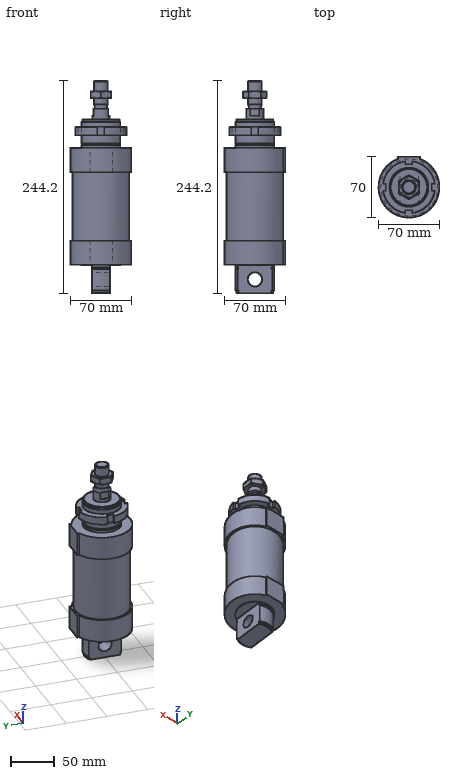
import cadquery as cq
import math

TOTAL_LENGTH = 244.2

HEAD_DIAMETER = 70.0
HEAD_LENGTH = 27.8
TUBE_DIAMETER = 65.5
BODY_LENGTH = 134.3
PAD_WIDTH = 25.6

BOSS_DIAMETER = 45.0
BOSS_LENGTH = 33.0
UNDERCUT_DIAMETER = 43.5
UNDERCUT_START = 3.0
UNDERCUT_WIDTH = 2.2
SPIGOT_DIAMETER = 42.7
SPIGOT_FACE_DIAMETER = 41.8
SPIGOT_LENGTH = 3.5
SPIGOT_CONE_LENGTH = 0.5
EDGE_CHAMFER = 0.7

TONGUE_THICKNESS = 21.0
TONGUE_SHOULDER = 0.7
PIN_HOLE_DIAMETER = 16.0
PIN_HOLE_Z = 16.0

ROD_DIAMETER = 20.0
ROD_FLATS = 17.0
ROD_FLATS_LENGTH = 8.3
STUD_DIAMETER = 16.0
STUD_LENGTH = 31.7
STUD_TIP_DIAMETER = 14.0
STUD_TIP_CHAMFER = 1.0
NECK_DIAMETER = 14.5
NECK_LENGTH = 2.5
NECK_ROOT_FILLET = 0.2
RUNOUT_LENGTH = 2.5
RUNOUT_FILLET = 2.2

HEX_NUT_FLATS = 24.0
HEX_NUT_HEIGHT = 8.0
HEX_NUT_FACE_DIAMETER = 23.7
HEX_NUT_TIP_GAP = 12.0
HEX_CHAMFER_ANGLE = 20.0

RING_DIAMETER = 59.8
RING_FACE_DIAMETER = 56.0
RING_HEIGHT = 9.8
RING_CHAMFER_HEIGHT = 0.5
RING_SLOT_COUNT = 4
RING_SLOT_WIDTH = 8.0
RING_SLOT_FLOOR = 26.4
RING_TIP_GAP = 8.8

EDGE_TOLERANCE = 0.12

lower_face_z = BOSS_LENGTH
upper_face_z = lower_face_z + BODY_LENGTH
collar_top_z = upper_face_z + BOSS_LENGTH


def revolve_profile(points):
    """Solid of revolution about Z from (radius, z) points, closed along the axis."""
    return cq.Workplane("XZ").polyline(points).close().revolve(360, (0, 0, 0), (0, 1, 0))


def disc(diameter, bottom_z, height):
    return cq.Workplane("XY").workplane(offset=bottom_z).circle(diameter / 2).extrude(height)


def circle_at(z, diameter):
    """Selector for the circular edges around the axis that fit a thin box at height z."""
    reach = diameter / 2 + EDGE_TOLERANCE
    return cq.selectors.BoxSelector(
        (-reach, -reach, z - EDGE_TOLERANCE), (reach, reach, z + EDGE_TOLERANCE), boundingbox=True
    )


def make_boss():
    """Threaded boss rising from z = 0, with a root undercut and a stepped, chamfered tip."""
    outer = BOSS_DIAMETER / 2
    undercut = UNDERCUT_DIAMETER / 2
    spigot = SPIGOT_DIAMETER / 2
    undercut_end = UNDERCUT_START + UNDERCUT_WIDTH
    spigot_start = BOSS_LENGTH - SPIGOT_LENGTH
    return revolve_profile([
        (0, 0),
        (outer, 0),
        (outer, UNDERCUT_START),
        (undercut, UNDERCUT_START + EDGE_CHAMFER),
        (undercut, undercut_end - EDGE_CHAMFER),
        (outer, undercut_end),
        (outer, spigot_start),
        (spigot, spigot_start + SPIGOT_CONE_LENGTH),
        (spigot, BOSS_LENGTH - EDGE_CHAMFER),
        (SPIGOT_FACE_DIAMETER / 2, BOSS_LENGTH),
        (0, BOSS_LENGTH),
    ])


def make_head(bottom_z):
    """Round head with a flat port pad whose face is tangent to the round."""
    radius = HEAD_DIAMETER / 2
    pad = (
        cq.Workplane("XY")
        .workplane(offset=bottom_z)
        .center(0, radius / 2)
        .rect(PAD_WIDTH, radius)
        .extrude(HEAD_LENGTH)
    )
    return disc(HEAD_DIAMETER, bottom_z, HEAD_LENGTH).union(pad)


def make_clevis():
    """Lower boss milled to a flat tongue and cross-drilled along X."""
    boss = make_boss().rotate((0, 0, 0), (1, 0, 0), 180).translate((0, 0, lower_face_z))
    tongue_height = BOSS_LENGTH - TONGUE_SHOULDER
    tongue = cq.Workplane("XY").rect(TONGUE_THICKNESS, BOSS_DIAMETER).extrude(tongue_height)
    shoulder = disc(BOSS_DIAMETER, tongue_height, TONGUE_SHOULDER)
    pin_hole = (
        cq.Workplane("YZ")
        .center(0, PIN_HOLE_Z)
        .circle(PIN_HOLE_DIAMETER / 2)
        .extrude(TONGUE_THICKNESS, both=True)
    )
    return boss.intersect(tongue.union(shoulder)).cut(pin_hole)


def make_cylinder():
    tube = disc(TUBE_DIAMETER, lower_face_z, BODY_LENGTH)
    lower_head = make_head(lower_face_z)
    upper_head = make_head(upper_face_z - HEAD_LENGTH)
    collar = make_boss().translate((0, 0, upper_face_z))
    return tube.union(lower_head).union(upper_head).union(collar).union(make_clevis())


def make_rod():
    """Rod standing on the collar face: round shank with two flats, neck and threaded stud."""
    shank = ROD_DIAMETER / 2
    stud = STUD_DIAMETER / 2
    neck = NECK_DIAMETER / 2
    shoulder_z = TOTAL_LENGTH - STUD_LENGTH
    neck_end = shoulder_z + NECK_LENGTH
    rod = revolve_profile([
        (0, collar_top_z),
        (shank, collar_top_z),
        (shank, shoulder_z),
        (neck, shoulder_z),
        (neck, neck_end),
        (stud, neck_end + RUNOUT_LENGTH),
        (stud, TOTAL_LENGTH - STUD_TIP_CHAMFER),
        (STUD_TIP_DIAMETER / 2, TOTAL_LENGTH),
        (0, TOTAL_LENGTH),
    ])
    rod = rod.edges(circle_at(shoulder_z, NECK_DIAMETER)).fillet(NECK_ROOT_FILLET)
    rod = rod.edges(circle_at(neck_end, NECK_DIAMETER)).fillet(RUNOUT_FILLET)
    for side in (-1, 1):
        flat_cut = (
            cq.Workplane("XY")
            .workplane(offset=shoulder_z - ROD_FLATS_LENGTH)
            .center(side * (ROD_FLATS + ROD_DIAMETER) / 2, 0)
            .rect(ROD_DIAMETER, ROD_DIAMETER)
            .extrude(ROD_FLATS_LENGTH)
        )
        rod = rod.cut(flat_cut)
    return rod


def make_hex_nut():
    """Hexagon with flats facing +X and -X, both faces chamfered to a circle."""
    bottom_z = TOTAL_LENGTH - HEX_NUT_TIP_GAP - HEX_NUT_HEIGHT
    corner_diameter = HEX_NUT_FLATS / math.cos(math.radians(30))
    corner = corner_diameter / 2
    face = HEX_NUT_FACE_DIAMETER / 2
    chamfer_height = (corner - face) * math.tan(math.radians(HEX_CHAMFER_ANGLE))
    hexagon = (
        cq.Workplane("XY")
        .polygon(6, corner_diameter)
        .extrude(HEX_NUT_HEIGHT)
        .rotate((0, 0, 0), (0, 0, 1), 90)
    )
    envelope = revolve_profile([
        (0, 0),
        (face, 0),
        (corner, chamfer_height),
        (corner, HEX_NUT_HEIGHT - chamfer_height),
        (face, HEX_NUT_HEIGHT),
        (0, HEX_NUT_HEIGHT),
    ])
    bore = disc(STUD_DIAMETER, 0, HEX_NUT_HEIGHT)
    return hexagon.intersect(envelope).cut(bore).translate((0, 0, bottom_z))


def make_ring_nut():
    """Ring threaded on the collar, with a chamfered upper edge and four spanner slots."""
    bottom_z = collar_top_z - RING_TIP_GAP - RING_HEIGHT
    outer = RING_DIAMETER / 2
    bore = BOSS_DIAMETER / 2
    ring = revolve_profile([
        (bore, 0),
        (outer, 0),
        (outer, RING_HEIGHT - RING_CHAMFER_HEIGHT),
        (RING_FACE_DIAMETER / 2, RING_HEIGHT),
        (bore, RING_HEIGHT),
    ])
    slot = (
        cq.Workplane("XY")
        .center((RING_SLOT_FLOOR + outer) / 2, 0)
        .rect(outer - RING_SLOT_FLOOR, RING_SLOT_WIDTH)
        .extrude(RING_HEIGHT)
    )
    for index in range(RING_SLOT_COUNT):
        ring = ring.cut(slot.rotate((0, 0, 0), (0, 0, 1), index * 360 / RING_SLOT_COUNT))
    return ring.translate((0, 0, bottom_z))


cylinder = make_cylinder()
rod = make_rod()
hex_nut = make_hex_nut()
ring_nut = make_ring_nut()

result = cq.Compound.makeCompound([cylinder.val(), rod.val(), hex_nut.val(), ring_nut.val()])